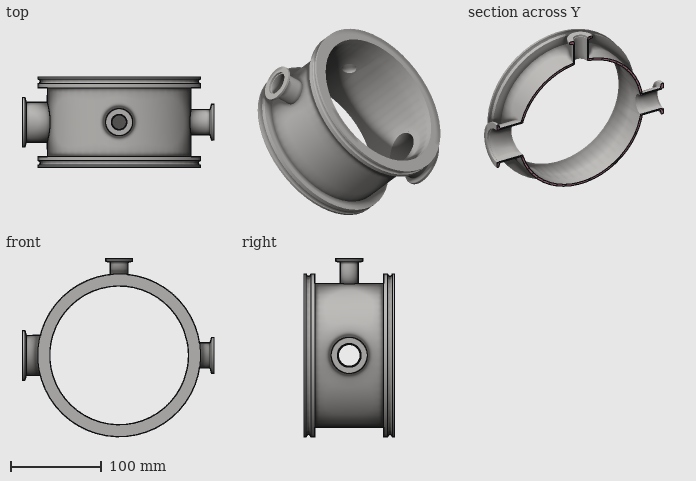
import cadquery as cq
import math

chamber_length = 100.0
chamber_outer_radius = 159.0 / 2
chamber_inner_radius = 153.0 / 2
flange_radius = 180.0 / 2
flange_thickness = 12.0
groove_radius = 2.5
groove_inset = 5.0

lip_thickness = 3.0
lip_fillet = 1.0
neck_fillet = 0.5
cone_angle = 15.0
seat_depth = 2.5

port_specs = [
    dict(axis=(0, 0, 1), reach=107.0, flange_dia=30.0, tube_dia=20.0, bore_dia=16.0, seat_dia=17.2),
    dict(axis=(-1, 0, 0), reach=107.0, flange_dia=55.0, tube_dia=44.5, bore_dia=40.5, seat_dia=41.2),
    dict(axis=(1, 0, 0), reach=105.0, flange_dia=40.0, tube_dia=28.0, bore_dia=24.0, seat_dia=26.2),
]


def chamber_cylinder(radius):
    """Solid cylinder along the chamber axis, as long as the chamber."""
    return cq.Workplane("XZ").circle(radius).extrude(chamber_length / 2, both=True)


def port_plane(axis, distance=0.0):
    """Plane facing out along a port axis, at a distance from the chamber axis."""
    origin = tuple(distance * component for component in axis)
    return cq.Plane(origin=origin, xDir=(0, 1, 0), normal=axis)


def make_end_flange(side):
    """Disc at one end (side is -1 or 1) with a half-round groove in its rim."""
    end_face = side * chamber_length / 2
    disc = (
        cq.Workplane("XZ", origin=(0, end_face, 0))
        .circle(flange_radius)
        .extrude(side * flange_thickness)
    )
    groove = (
        cq.Workplane("XY")
        .center(flange_radius, end_face - side * groove_inset)
        .circle(groove_radius)
        .revolve(360, (-flange_radius, 0, 0), (-flange_radius, 1, 0))
    )
    return disc.cut(groove)


def make_chamber():
    """Tube with both flanges, bored through, with a hole for each port tube."""
    chamber = chamber_cylinder(chamber_outer_radius)
    for side in (-1, 1):
        chamber = chamber.union(make_end_flange(side))
    chamber = chamber.cut(chamber_cylinder(chamber_inner_radius))
    for spec in port_specs:
        hole = cq.Workplane(port_plane(spec["axis"])).circle(spec["tube_dia"] / 2).extrude(spec["reach"])
        chamber = chamber.cut(hole)
    return chamber


def make_port(axis, reach, flange_dia, tube_dia, bore_dia, seat_dia):
    """Flanged tube that passes through the wall and ends flush with the chamber bore."""
    lip_radius = flange_dia / 2
    tube_radius = tube_dia / 2
    lip_end = reach - lip_thickness
    cone_height = (lip_radius - tube_radius) * math.tan(math.radians(cone_angle))

    across = cq.Vector(0, 1, 0)
    profile_plane = cq.Plane(origin=(0, 0, 0), xDir=across, normal=across.cross(cq.Vector(axis)))
    port = (
        cq.Workplane(profile_plane)
        .lineTo(tube_radius, 0)
        .lineTo(tube_radius, lip_end - cone_height)
        .lineTo(lip_radius, lip_end)
        .lineTo(lip_radius, reach)
        .lineTo(0, reach)
        .close()
        .revolve(360, (0, 0, 0), (0, 1, 0))
    )
    lip_corner = cq.selectors.NearestToPointSelector(port_plane(axis, lip_end).origin)
    neck_corner = cq.selectors.NearestToPointSelector(port_plane(axis, lip_end - cone_height).origin)
    port = port.edges(lip_corner).fillet(lip_fillet)
    port = port.edges(neck_corner).fillet(neck_fillet)

    bore = cq.Workplane(port_plane(axis)).circle(bore_dia / 2).extrude(reach)
    seat = cq.Workplane(port_plane(axis, reach)).circle(seat_dia / 2).extrude(-seat_depth)
    return port.cut(bore).cut(seat).cut(chamber_cylinder(chamber_inner_radius))


chamber = make_chamber()
ports = [make_port(**spec) for spec in port_specs]

result = cq.Compound.makeCompound([chamber.val(), *[port.val() for port in ports]])